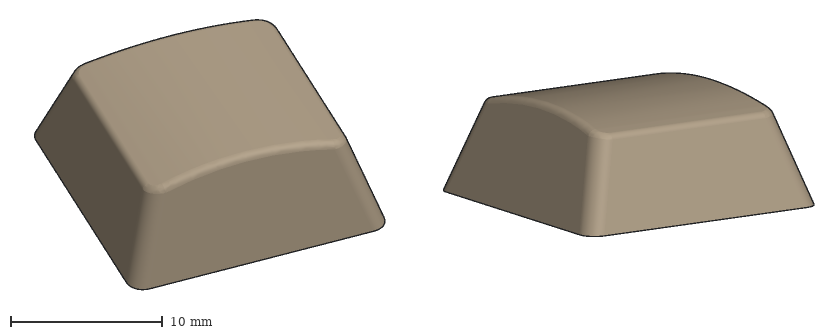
import math
import cadquery as cq

base_side = 18.3
height = 7.2

draft_angle = 18.0
crown_radius = 26.54
corner_radius = 1.25
rim_radius = 0.6


def drafted_block():
    """Square block, as tall as the part, whose four sides lean inwards."""
    return cq.Workplane("XY").rect(base_side, base_side).extrude(height, taper=draft_angle)


def crown_body():
    """Body under a cylindrical crown whose axis runs along X, highest at Y = 0."""
    half_side = base_side / 2
    edge_drop = crown_radius - math.sqrt(crown_radius**2 - half_side**2)
    edge_height = height - edge_drop
    return (
        cq.Workplane("YZ")
        .moveTo(-half_side, 0)
        .lineTo(half_side, 0)
        .lineTo(half_side, edge_height)
        .threePointArc((0, height), (-half_side, edge_height))
        .close()
        .extrude(half_side, both=True)
    )


rounded_block = drafted_block().edges("not (|X or |Y)").fillet(corner_radius)
crowned_block = rounded_block.intersect(crown_body())
result = crowned_block.faces(">Z").edges().fillet(rim_radius)